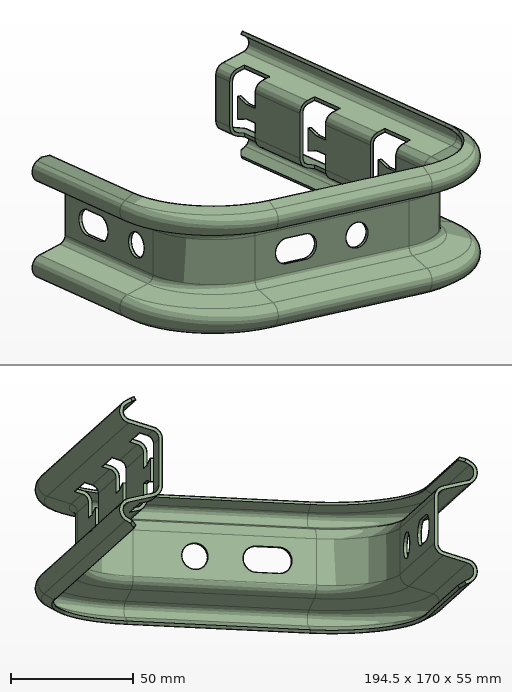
import cadquery as cq
import math


overall_length = 194.52
overall_width = 170.0
channel_depth = 18.0
corner_inner_radius = 28.5
corner_outer_radius = corner_inner_radius + channel_depth
long_arm_length = overall_length - corner_outer_radius
short_arm_length = 62.5
column_length = overall_width - 2 * corner_outer_radius
corner_x = long_arm_length
corner_y = column_length / 2
short_arm_end_x = corner_x - short_arm_length

sheet = 1.5
half_height = 27.5
web_half_height = 9.7
bend_radius = 5.0
curl_radius = 5.05
flange_slope = math.radians(15)
lip_slope = math.radians(30)

slot_count = 3
slot_pitch = 50.0
slot_start = 10.0
slot_length = 18.0
slot_depth = 7.3
tab_length = 12.5
tab_tip_length = 0.6
tab_taper_length = 5.8
tab_tip_half = 4.9
tab_neck_half = 3.2

hole_diameter = 11.0
oblong_length = 20.5
hole_spacing = 30.5
short_arm_oblong_x = short_arm_end_x + 20.2
column_hole_y = 12.5

lip_cut_length = 3.0
lip_cut_depth = 2.5


def polar(center, radius, angle):
    return (center[0] + radius * math.cos(angle), center[1] + radius * math.sin(angle))


bend_center = (bend_radius, web_half_height)
curl_depth = channel_depth - curl_radius
curl_rise = (
    (bend_radius - sheet + curl_radius) + (curl_depth - bend_radius) * math.sin(flange_slope)
) / math.cos(flange_slope)
curl_center = (curl_depth, web_half_height + curl_rise)
bend_end_angle = math.pi / 2 + flange_slope
curl_start_angle = flange_slope - math.pi / 2
curl_end_angle = math.pi / 2 - lip_slope
lip_root = polar(curl_center, curl_radius, curl_end_angle)
lip_length = (half_height - lip_root[1]) / math.sin(lip_slope)
lip_end = polar(lip_root, lip_length, math.pi - lip_slope)


def half_skin(inset):
    """Corner and arc points of the upper half of one sheet face, `inset` from the open side."""
    bend = bend_radius - sheet + inset
    curl = curl_radius - inset
    return [
        (bend_center[0] - bend, web_half_height),
        polar(bend_center, bend, (math.pi + bend_end_angle) / 2),
        polar(bend_center, bend, bend_end_angle),
        polar(curl_center, curl, curl_start_angle),
        polar(curl_center, curl, (curl_start_angle + curl_end_angle) / 2),
        polar(curl_center, curl, curl_end_angle),
        polar(lip_end, -inset, curl_end_angle),
    ]


def draw_skin(sketch, points):
    """Run along a sheet face from the lip end under the current point to the opposite lip end."""
    low = [(depth, -z) for depth, z in points]
    return (
        sketch.lineTo(*low[5]).threePointArc(low[4], low[3])
        .lineTo(*low[2]).threePointArc(low[1], low[0])
        .lineTo(*points[0]).threePointArc(points[1], points[2])
        .lineTo(*points[3]).threePointArc(points[4], points[5])
        .lineTo(*points[6])
    )


def section(origin_y, depth_direction, normal):
    """Channel section standing beside a corner axis, web one inner radius away from that axis."""
    open_side = half_skin(0)
    web_side = [(depth, -z) for depth, z in half_skin(sheet)]
    plane = cq.Plane(origin=(corner_x, origin_y, 0), xDir=depth_direction, normal=normal)
    sketch = cq.Workplane(plane).center(corner_inner_radius, 0)
    sketch = draw_skin(sketch.moveTo(open_side[6][0], -open_side[6][1]), open_side)
    sketch = draw_skin(sketch.lineTo(web_side[6][0], -web_side[6][1]), web_side)
    return sketch.close()


def make_corner(profile):
    """Quarter turn of the section about the corner axis, clockwise as seen from above."""
    return profile.revolve(90, (-corner_inner_radius, 0), (-corner_inner_radius, -1))


def make_channel():
    long_arm = section(corner_y, (0, 1, 0), (1, 0, 0)).extrude(-long_arm_length)
    upper_corner = make_corner(section(corner_y, (0, 1, 0), (1, 0, 0)))
    column = section(-corner_y, (1, 0, 0), (0, -1, 0)).extrude(-column_length)
    lower_corner = make_corner(section(-corner_y, (1, 0, 0), (0, -1, 0)))
    short_arm = section(-corner_y, (0, -1, 0), (-1, 0, 0)).extrude(short_arm_length)
    return long_arm.union(upper_corner).union(column).union(lower_corner).union(short_arm)


def tabbed_slot(start_x):
    """Opening across the web and flanges that leaves a flared tab in the plane of the web."""
    web_y = corner_y + corner_inner_radius
    end_x = start_x + slot_length
    tip_x = end_x - tab_length
    taper_x = tip_x + tab_tip_length
    neck_x = taper_x + tab_taper_length
    opening = cq.Workplane("XY").box(slot_length, slot_depth, 2 * half_height)
    opening = opening.translate((start_x + slot_length / 2, web_y + slot_depth / 2, 0))
    tab = (
        cq.Workplane("XZ", origin=(0, web_y, 0))
        .moveTo(tip_x, -tab_tip_half)
        .lineTo(taper_x, -tab_tip_half)
        .lineTo(neck_x, -tab_neck_half)
        .lineTo(end_x, -tab_neck_half)
        .lineTo(end_x, tab_neck_half)
        .lineTo(neck_x, tab_neck_half)
        .lineTo(taper_x, tab_tip_half)
        .lineTo(tip_x, tab_tip_half)
        .close()
        .extrude(-sheet)
    )
    return opening.cut(tab)


def hole_pair(face, oblong_position, round_position):
    """Cutter through the web: an oblong and a round hole on the centre line of the given plane."""
    oblong = face.center(oblong_position, 0).slot2D(oblong_length, hole_diameter).extrude(sheet)
    round_hole = cq.Workplane(face.plane).center(round_position, 0).circle(hole_diameter / 2).extrude(sheet)
    return oblong.union(round_hole)


def short_arm_holes():
    face = cq.Workplane("XZ", origin=(0, -corner_y - corner_inner_radius, 0))
    return hole_pair(face, short_arm_oblong_x, short_arm_oblong_x + hole_spacing)


def column_holes():
    face = cq.Workplane("YZ", origin=(corner_x + corner_inner_radius, 0, 0))
    return hole_pair(face, column_hole_y - hole_spacing, column_hole_y)


def lip_cuts(end_x, side):
    """Wedges square to the lips at one arm end; side is +1 for the long arm, -1 for the short arm."""
    lip_corner = (end_x, side * (corner_y + corner_inner_radius + lip_end[0]), half_height)
    lip_normal = (0, side * math.sin(lip_slope), math.cos(lip_slope))
    wedge = (
        cq.Workplane(cq.Plane(origin=lip_corner, xDir=(1, 0, 0), normal=lip_normal))
        .polyline([(0, 0), (lip_cut_length, 0), (0, side * lip_cut_depth)])
        .close()
        .extrude(-sheet)
    )
    return wedge.union(wedge.mirror("XY"))


result = make_channel()
for index in range(slot_count):
    result = result.cut(tabbed_slot(slot_start + index * slot_pitch))
result = result.cut(short_arm_holes()).cut(column_holes())
result = result.cut(lip_cuts(0, 1)).cut(lip_cuts(short_arm_end_x, -1))